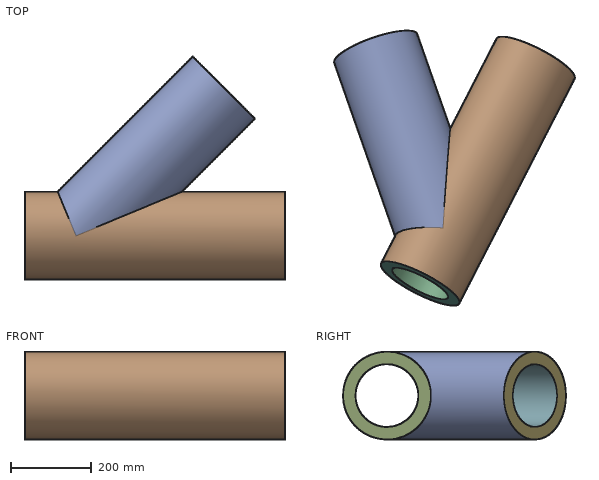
import cadquery as cq
import math

INCH = 25.4
outer_diameter = 8.625 * INCH
wall_thickness = 1.25 * INCH
bore_diameter = outer_diameter - 2 * wall_thickness

run_length = 25.5 * INCH
run_start_to_junction = 5.0 * INCH
branch_length = 20.5 * INCH
branch_angle = math.radians(45)

run_start = cq.Vector(-run_start_to_junction, 0, 0)
run_direction = cq.Vector(1, 0, 0)
junction = cq.Vector(0, 0, 0)
branch_direction = cq.Vector(math.cos(branch_angle), math.sin(branch_angle), 0)


def cylinder(diameter, start, direction, length):
    """Solid cylinder of the given length from start along direction."""
    return cq.Workplane(cq.Solid.makeCylinder(diameter / 2, length, start, direction))


def lateral(diameter):
    """Run and branch cylinders of one diameter, joined at the junction."""
    run = cylinder(diameter, run_start, run_direction, run_length)
    branch = cylinder(diameter, junction, branch_direction, branch_length)
    return run.union(branch)


result = lateral(outer_diameter).cut(lateral(bore_diameter))